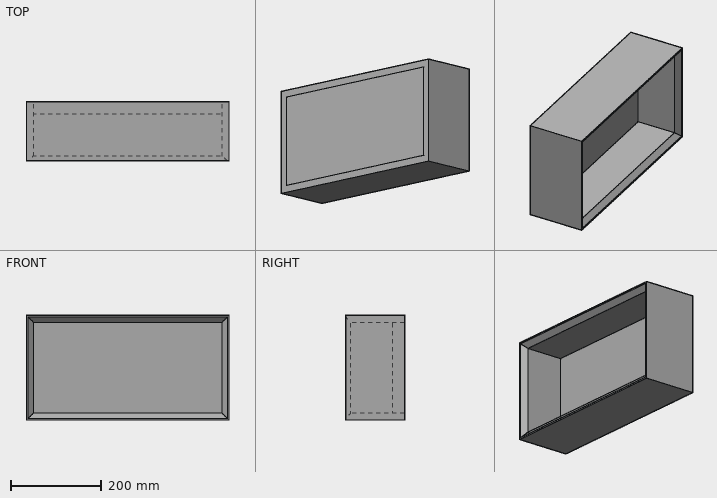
import cadquery as cq

WIDTH = 450.0
DEPTH = 132.0
HEIGHT = 233.0

WALL = 15.8
RIM = 3.5
BEVEL_DEPTH = 11.2
PANEL_THICKNESS = 28.0

FRONT_Y = -DEPTH / 2
BACK_Y = DEPTH / 2
OPENING_WIDTH = WIDTH - 2 * WALL
OPENING_HEIGHT = HEIGHT - 2 * WALL


def make_bevel_cutter():
    """Tapered block, widest at the front face and as wide as the opening at its back."""
    return (
        cq.Workplane("XZ", origin=(0, FRONT_Y, 0))
        .rect(WIDTH - 2 * RIM, HEIGHT - 2 * RIM)
        .workplane(offset=-BEVEL_DEPTH)
        .rect(OPENING_WIDTH, OPENING_HEIGHT)
        .loft(ruled=True)
    )


def make_frame():
    """Four walls around a through opening, bevelled inside the front edge."""
    block = cq.Workplane("XY").box(WIDTH, DEPTH, HEIGHT)
    opening = cq.Workplane("XY").box(OPENING_WIDTH, DEPTH, OPENING_HEIGHT)
    return block.cut(opening).cut(make_bevel_cutter())


def make_back_panel():
    """Plain panel that fills the opening, flush with the back of the frame."""
    panel = cq.Workplane("XY").box(OPENING_WIDTH, PANEL_THICKNESS, OPENING_HEIGHT)
    return panel.translate((0, BACK_Y - PANEL_THICKNESS / 2, 0))


frame = make_frame()
back_panel = make_back_panel()

result = cq.Compound.makeCompound([frame.val(), back_panel.val()])